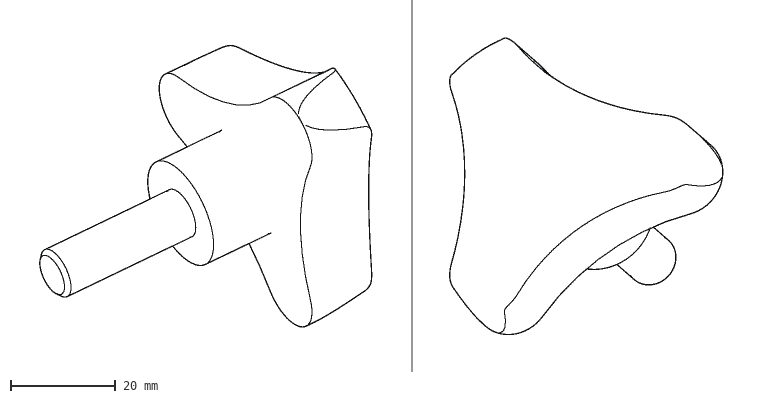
import cadquery as cq
import math


lobe_count = 3
lobe_radius = 7.8
lobe_distance = 23.2
waist_radius = 15.6

grip_height = 16.95
dome_radius = 126.6
tip_radius = lobe_distance + lobe_radius
rim_height = 13.7
rim_fillet = 1.9

hub_diameter = 21.75
hub_length = 16.95
hub_fillet = 1.7
stud_diameter = 10.0
stud_length = 30.05
stud_chamfer = 0.9


def polar(radius, angle):
    """Point at the given radius and angle in degrees."""
    return (radius * math.cos(math.radians(angle)), radius * math.sin(math.radians(angle)))


def make_lobed_prism():
    """Lobes joined by hollow arcs that are tangent to them."""
    pitch = 360 / lobe_count
    half_pitch = pitch / 2
    lobe_x, lobe_y = polar(lobe_distance, half_pitch)

    inner = waist_radius - lobe_radius
    hollow_distance = (lobe_distance**2 - inner**2) / (2 * (lobe_x - inner))
    tangent_angle = math.atan2(-lobe_y, hollow_distance - lobe_x)
    tangent_x = lobe_x + lobe_radius * math.cos(tangent_angle)
    tangent_y = lobe_y + lobe_radius * math.sin(tangent_angle)
    tangent_distance = math.hypot(tangent_x, tangent_y)
    tangent_offset = math.degrees(math.atan2(tangent_y, tangent_x))

    outline = cq.Workplane("XZ").moveTo(tangent_x, -tangent_y)
    for index in range(lobe_count):
        hollow_angle = index * pitch
        outline = outline.threePointArc(
            polar(waist_radius, hollow_angle),
            polar(tangent_distance, hollow_angle + tangent_offset),
        )
        outline = outline.threePointArc(
            polar(tip_radius, hollow_angle + half_pitch),
            polar(tangent_distance, hollow_angle + pitch - tangent_offset),
        )
    return outline.close().extrude(-grip_height)


def make_domed_blank():
    """Turned blank with a tapered side, a rounded rim and a domed top."""
    dome_centre = grip_height - dome_radius
    rim_radius = math.sqrt(dome_radius**2 - (rim_height - dome_centre) ** 2)
    half_angle = math.asin(rim_radius / dome_radius) / 2
    dome_middle = (
        dome_radius * math.sin(half_angle),
        dome_centre + dome_radius * math.cos(half_angle),
    )
    blank = (
        cq.Workplane("XY")
        .lineTo(tip_radius, 0)
        .lineTo(rim_radius, rim_height)
        .threePointArc(dome_middle, (0, grip_height))
        .close()
        .revolve(360, (0, 0), (0, 1))
    )
    rim = cq.selectors.BoxSelector(
        (-tip_radius, rim_height - rim_fillet, -tip_radius),
        (tip_radius, rim_height + rim_fillet, tip_radius),
        boundingbox=True,
    )
    return blank.edges(rim).fillet(rim_fillet)


def make_hub_and_stud():
    """Hub flaring into the grip, followed by the chamfered stud."""
    hub_radius = hub_diameter / 2
    stud_radius = stud_diameter / 2
    stud_end = -hub_length - stud_length
    arc_reach = hub_fillet * (1 - math.sqrt(0.5))
    return (
        cq.Workplane("XY")
        .lineTo(hub_radius + hub_fillet, 0)
        .threePointArc((hub_radius + arc_reach, -arc_reach), (hub_radius, -hub_fillet))
        .lineTo(hub_radius, -hub_length)
        .lineTo(stud_radius, -hub_length)
        .lineTo(stud_radius, stud_end + stud_chamfer)
        .lineTo(stud_radius - stud_chamfer, stud_end)
        .lineTo(0, stud_end)
        .close()
        .revolve(360, (0, 0), (0, 1))
    )


grip = make_lobed_prism().intersect(make_domed_blank())
result = grip.union(make_hub_and_stud())